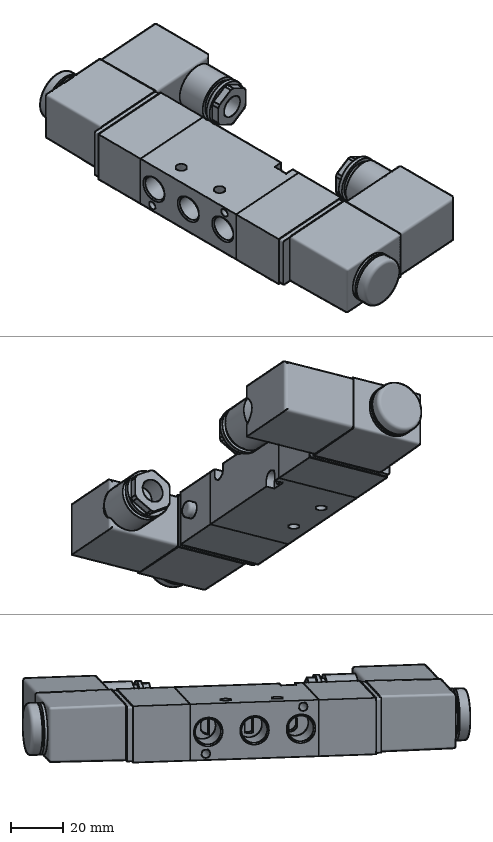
import cadquery as cq

overall_length = 170.8
overall_depth = 66.7

height = 22.0
depth = 35.0
body_length = 50.0

port_pitch = 18.0
port_diameter = 10.0
port_mouth_diameter = 11.2
port_depth = 12.0
passage_diameter = 7.0
passage_width = 3.2
passage_depth = 3.0
outer_passage_edge = 15.5

mount_spacing = 20.0
mount_y = 6.8
mount_diameter = 4.3

screw_x = 18.9
screw_z = 8.5
screw_diameter = 3.3
head_width = 6.0
head_depth = 3.6

cap_length = 22.2
flange_thickness = 2.1
flange_inset = 0.3
flange_edge_radius = 0.8
override_x = 38.2
override_diameter = 6.5
override_height = 3.1
override_edge_radius = 1.3

coil_length = 29.7
coil_front_y = 4.0
coil_back_y = 34.5
coil_taper = 0.26
coil_edge_radius = 1.0
cap_end_x = body_length / 2 + cap_length + flange_thickness
coil_end_x = cap_end_x + coil_length

nut_y = depth / 2
nut_diameter = 20.0
nut_edge_radius = 1.4
nut_length = 4.3
nut_groove_width = 0.9
nut_groove_diameter = 15.0
nut_end_x = overall_length / 2
nut_start_x = nut_end_x - nut_length
washer_end_x = nut_start_x - nut_groove_width

connector_inner_x = 49.4
connector_outer_x = 78.5
connector_depth = 30.5
connector_height = 21.2
connector_edge_radius = 1.3
connector_back_y = coil_back_y + connector_depth

gland_diameter = 18.6
gland_y = overall_depth - gland_diameter / 2
gland_sleeve_end_x = 37.4
gland_groove_width = 2.0
gland_groove_diameter = gland_diameter - 2.7
gland_collar_width = 1.6
gland_hex_length = 3.1
gland_hex_across_flats = 15.4
gland_hex_turned_diameter = 17.0
gland_bore_diameter = 9.0
gland_bore_depth = 8.0
gland_shoulder = 1.6
gland_cone_length = 3.8
gland_cone_end_diameter = gland_diameter - 4.0
gland_collar_start_x = gland_sleeve_end_x - gland_groove_width
gland_hex_start_x = gland_collar_start_x - gland_collar_width
gland_end_x = gland_hex_start_x - gland_hex_length
gland_shoulder_x = connector_inner_x + gland_shoulder


def block(x_range, y_range, z_range):
    """Box spanning the given (low, high) ranges."""
    size = [high - low for low, high in (x_range, y_range, z_range)]
    corner = (x_range[0], y_range[0], z_range[0])
    return cq.Workplane("XY").box(*size, centered=False).translate(corner)


def cylinder_x(diameter, start_x, end_x, y):
    """Round bar along X at height Z = 0."""
    plane = cq.Workplane("YZ", origin=(start_x, y, 0))
    return plane.circle(diameter / 2).extrude(end_x - start_x)


def cylinder_y(diameter, x, z, start_y, end_y):
    """Round bar along Y."""
    plane = cq.Workplane("XZ", origin=(x, start_y, z))
    return plane.circle(diameter / 2).extrude(start_y - end_y)


def port_cutter(x):
    """Round port with a 45 degree chamfered mouth."""
    mouth_radius = port_mouth_diameter / 2
    bore_radius = port_diameter / 2
    mouth_depth = mouth_radius - bore_radius
    mouth = cq.Solid.makeCone(
        mouth_radius, bore_radius, mouth_depth, pnt=cq.Vector(x, 0, 0), dir=cq.Vector(0, 1, 0)
    )
    return cylinder_y(port_diameter, x, 0, 0, port_depth).union(cq.Workplane(mouth))


def passage_cutter(center_x, low_x, high_x):
    """Passage below a port floor: a round hole kept only between two flat sides."""
    end_y = port_depth + passage_depth
    hole = cylinder_y(passage_diameter, center_x, 0, port_depth, end_y)
    return hole.intersect(block((low_x, high_x), (port_depth, end_y), (-height, height)))


def screw_cutter(side):
    """Through hole with a round-bottomed head recess running out to the side of the body."""
    x = side * screw_x
    z = side * screw_z
    head_y = depth - head_depth
    cutter = cylinder_y(screw_diameter, x, z, 0, depth)
    cutter = cutter.union(cylinder_y(head_width, x, z, head_y, depth))
    x_range = (x - head_width / 2, x + head_width / 2)
    return cutter.union(block(x_range, (head_y, depth), sorted((z, side * height))))


def make_body():
    body = block((-body_length / 2, body_length / 2), (0, depth), (-height / 2, height / 2))
    for x in (-port_pitch, 0, port_pitch):
        body = body.cut(port_cutter(x))
    body = body.cut(passage_cutter(0, -passage_width / 2, passage_width / 2))
    edge = outer_passage_edge
    body = body.cut(passage_cutter(edge, edge, edge + passage_width))
    body = body.cut(passage_cutter(-edge, -edge - passage_width, -edge))
    for side in (-1, 1):
        body = body.cut(screw_cutter(side))
        mount = cq.Workplane("XY", origin=(side * mount_spacing / 2, mount_y, -height / 2))
        body = body.cut(mount.circle(mount_diameter / 2).extrude(height))
    return body


def make_end_cap():
    """End block with a rounded flange outside it and a manual override button on its back."""
    flange_x = body_length / 2 + cap_length
    flange_top = height / 2 - flange_inset
    cap = block((body_length / 2, flange_x), (0, depth), (-height / 2, height / 2))
    flange_y_range = (flange_inset, depth - flange_inset)
    flange = block((flange_x, cap_end_x), flange_y_range, (-flange_top, flange_top))
    cap = cap.union(flange.edges("|X").fillet(flange_edge_radius))
    button = cylinder_y(override_diameter, override_x, 0, depth, depth + override_height)
    return cap.union(button.faces(">Y").edges().fillet(override_edge_radius))


def make_coil_block():
    """Coil housing that narrows slightly toward its outer end; its back stays flat."""
    side = [
        (cap_end_x, -height / 2),
        (coil_end_x, -height / 2 + coil_taper),
        (coil_end_x, height / 2 - coil_taper),
        (cap_end_x, height / 2),
    ]
    plan = [
        (cap_end_x, coil_front_y),
        (coil_end_x, coil_front_y + coil_taper),
        (coil_end_x, coil_back_y),
        (cap_end_x, coil_back_y),
    ]
    coil = cq.Workplane("XZ").polyline(side).close().extrude(-depth)
    outline = cq.Workplane("XY", origin=(0, 0, -height / 2)).polyline(plan).close().extrude(height)
    coil = coil.intersect(outline)
    front_edges = coil.faces("<Y").edges("not <X")
    outer_edges = coil.faces(">X").edges("not >Y")
    return coil.newObject(front_edges.vals() + outer_edges.vals()).fillet(coil_edge_radius)


def make_nut():
    """Washer, grooved neck and round nut."""
    washer = cylinder_x(nut_diameter, coil_end_x, washer_end_x, nut_y)
    neck = cylinder_x(nut_groove_diameter, coil_end_x, nut_end_x, nut_y)
    nut = cylinder_x(nut_diameter, nut_start_x, nut_end_x, nut_y)
    return washer.union(neck.union(nut).faces(">X").edges().fillet(nut_edge_radius))


def make_connector():
    """Plug housing with rounded inner and outer faces."""
    z_range = (-connector_height / 2, connector_height / 2)
    x_range = (connector_inner_x, connector_outer_x)
    connector = block(x_range, (coil_back_y, connector_back_y), z_range)
    return connector.edges("(<X or >X) and (not <Y)").fillet(connector_edge_radius)


def make_gland():
    """Turned sleeve, groove, collar and hexagon, ending in a cone at the connector's back."""
    radius = gland_diameter / 2
    cone_end_x = gland_shoulder_x + gland_cone_length
    profile = [
        (gland_hex_start_x, 0),
        (gland_hex_start_x, radius),
        (gland_collar_start_x, radius),
        (gland_collar_start_x, gland_groove_diameter / 2),
        (gland_sleeve_end_x, gland_groove_diameter / 2),
        (gland_sleeve_end_x, radius),
        (gland_shoulder_x, radius),
        (cone_end_x, gland_cone_end_diameter / 2),
        (cone_end_x, 0),
    ]
    turned = cq.Workplane("XY").polyline(profile).close().revolve(360, (0, 0, 0), (1, 0, 0))
    plane = cq.Workplane("YZ", origin=(gland_end_x, gland_y, 0))
    hexagon = plane.polygon(6, gland_hex_across_flats, circumscribed=True).extrude(gland_hex_length)
    hexagon = hexagon.intersect(plane.circle(gland_hex_turned_diameter / 2).extrude(gland_hex_length))
    return turned.translate((0, gland_y, 0)).union(hexagon)


def make_solenoid():
    """Coil, nut, connector and cable gland as one body."""
    solenoid = make_coil_block().union(make_nut()).union(make_connector()).union(make_gland())
    bore_end_x = gland_end_x + gland_bore_depth
    return solenoid.cut(cylinder_x(gland_bore_diameter, gland_end_x, bore_end_x, gland_y))


body = make_body()
end_cap = make_end_cap()
solenoid = make_solenoid()

solids = [body.val()]
for part in (end_cap, solenoid):
    for placed in (part, part.mirror("YZ")):
        solids.append(placed.val())

result = cq.Compound.makeCompound(solids)